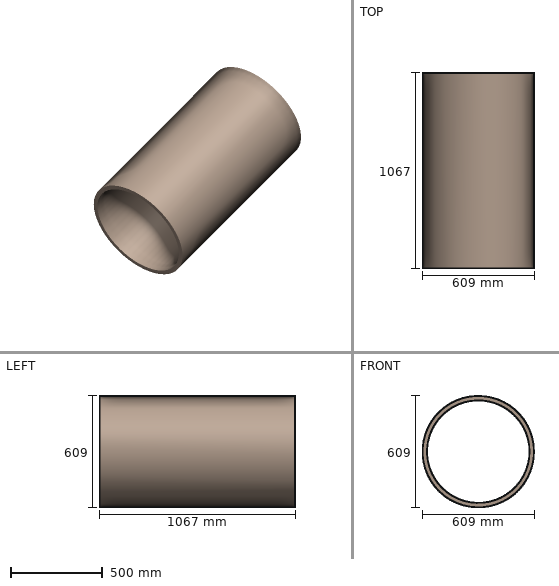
import cadquery as cq

length = 1067.0
outer_diameter = 609.0
wall_thickness = 26.0
inner_diameter = outer_diameter - 2 * wall_thickness

result = (
    cq.Workplane("XZ", origin=(0, length / 2, 0))
    .circle(outer_diameter / 2)
    .circle(inner_diameter / 2)
    .extrude(length)
)